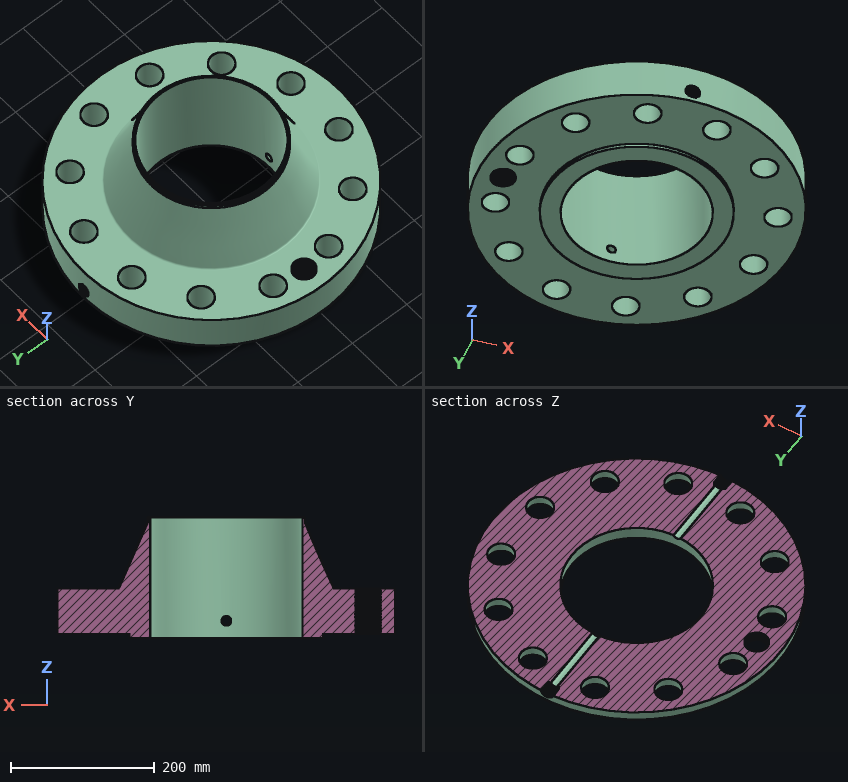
import cadquery as cq
import math

total_height = 168.0
flange_diameter = 470.0
flange_thickness = 63.5
raised_face_diameter = 269.5
raised_face_height = 5.5
bore_diameter = 211.5

hub_base_diameter = 300.0
hub_foot_radius = 3.5
weld_end_diameter = 219.0
weld_end_height = 7.0
weld_end_chamfer = 1.5

bolt_count = 12
bolt_circle_diameter = 394.0
bolt_hole_diameter = 38.0

jack_major_diameter = 35.2
jack_minor_diameter = 32.0
jack_thread_pitch = 4.0

tap_height = 24.0
tap_drill_diameter = 12.5
tap_major_diameter = 21.0
tap_minor_diameter = 18.5
tap_thread_pitch = 2.0
tap_thread_depth = 19.0
tap_taper = 1 / 16

bottom_z = -total_height / 2
flange_bottom_z = bottom_z + raised_face_height
flange_top_z = flange_bottom_z + flange_thickness
top_z = total_height / 2
bolt_circle_radius = bolt_circle_diameter / 2


def flange_body():
    """Revolved section of the raised face, flange, hub and bore."""
    bore_radius = bore_diameter / 2
    hub_radius = hub_base_diameter / 2
    weld_radius = weld_end_diameter / 2
    taper_top_z = top_z - weld_end_height

    slope = math.atan2(taper_top_z - flange_top_z, hub_radius - weld_radius)
    tangent_length = hub_foot_radius * math.tan(slope / 2)
    arc_center = (hub_radius + tangent_length, flange_top_z + hub_foot_radius)
    arc_middle = (
        arc_center[0] - hub_foot_radius * math.sin(slope / 2),
        arc_center[1] - hub_foot_radius * math.cos(slope / 2),
    )
    arc_end = (
        hub_radius - tangent_length * math.cos(slope),
        flange_top_z + tangent_length * math.sin(slope),
    )
    section = (
        cq.Workplane("XZ")
        .moveTo(bore_radius, bottom_z)
        .lineTo(raised_face_diameter / 2, bottom_z)
        .lineTo(raised_face_diameter / 2, flange_bottom_z)
        .lineTo(flange_diameter / 2, flange_bottom_z)
        .lineTo(flange_diameter / 2, flange_top_z)
        .lineTo(arc_center[0], flange_top_z)
        .threePointArc(arc_middle, arc_end)
        .lineTo(weld_radius, taper_top_z)
        .lineTo(weld_radius, top_z - weld_end_chamfer)
        .lineTo(weld_radius - weld_end_chamfer, top_z)
        .lineTo(bore_radius, top_z)
        .close()
    )
    return section.revolve(360, (0, 0, 0), (0, 1, 0))


def bolt_holes():
    """Through holes around the bolt circle."""
    half_step = 180 / bolt_count
    return (
        cq.Workplane("XY", origin=(0, 0, flange_bottom_z))
        .polarArray(bolt_circle_radius, half_step, 360, bolt_count)
        .circle(bolt_hole_diameter / 2)
        .extrude(flange_thickness)
    )


def tapped_hole(major_diameter, minor_diameter, pitch, depth, taper=0):
    """Cutter along +Z from the origin: a row of V-shaped ring grooves stands for the thread."""
    major_radius = major_diameter / 2
    minor_radius = minor_diameter / 2
    groove_count = round(depth / pitch)
    groove_width = depth / groove_count
    section = cq.Workplane("XZ").lineTo(major_radius, 0)
    for groove in range(groove_count):
        crest_z = (groove + 0.5) * groove_width
        root_z = (groove + 1) * groove_width
        section = section.lineTo(minor_radius - crest_z * taper / 2, crest_z)
        section = section.lineTo(major_radius - root_z * taper / 2, root_z)
    return section.lineTo(0, depth).close().revolve(360, (0, 0, 0), (0, 1, 0))


def jack_screw_hole():
    """Tapped hole through the flange on the bolt circle."""
    cutter = tapped_hole(jack_major_diameter, jack_minor_diameter, jack_thread_pitch, flange_thickness)
    return cutter.translate((-bolt_circle_radius, 0, flange_bottom_z))


def pressure_taps():
    """Two opposite radial holes into the bore, each tapped at its outer end."""
    tap_z = bottom_z + tap_height
    flange_radius = flange_diameter / 2
    thread = tapped_hole(
        tap_major_diameter, tap_minor_diameter, tap_thread_pitch, tap_thread_depth, tap_taper
    )
    front_thread = thread.rotate((0, 0, 0), (1, 0, 0), -90).translate((0, -flange_radius, tap_z))
    back_thread = front_thread.mirror("XZ")
    drill = (
        cq.Workplane("XZ", origin=(0, 0, tap_z))
        .circle(tap_drill_diameter / 2)
        .extrude(flange_radius, both=True)
    )
    return drill.union(front_thread).union(back_thread)


result = flange_body().cut(bolt_holes()).cut(jack_screw_hole()).cut(pressure_taps())